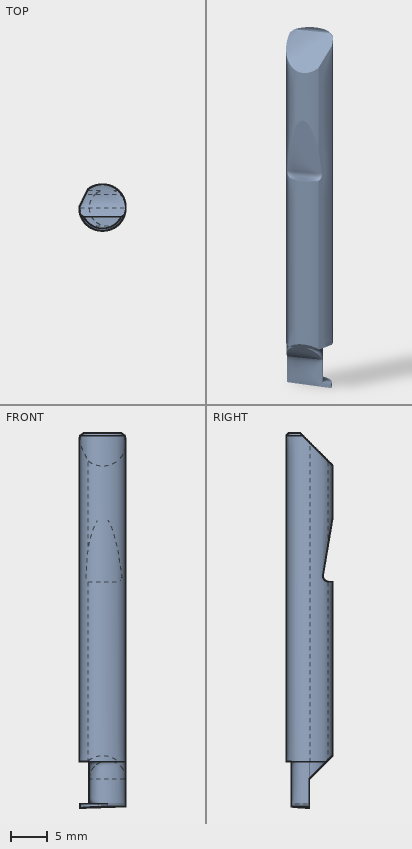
import cadquery as cq

length = 50.8
shank_diameter = 6.35
shank_radius = shank_diameter / 2
shank_bottom = 6.3
top_chamfer = 0.35

flat_normal_angle = 154.0
flat_distance = 2.87

top_slant_start_y = -1.25
bottom_slant_z = 3.95

notch_top = 39.45
notch_bottom = 30.7
notch_depth = 1.45
notch_corner_radius = 0.75

neck_radius = 2.5
neck_inset = 0.025
neck_x = shank_radius - neck_inset - neck_radius

tooth_tip_x = -3.05
tooth_x = tooth_tip_x + neck_radius
tooth_top = 0.6
relief_along_x = 2.0
relief_along_y = 3.0

reach = 2 * shank_diameter


def prism_along_x(points):
    """Extrude a YZ outline across the full width of the part."""
    return cq.Workplane("YZ").polyline(points).close().extrude(reach, both=True)


def make_shank():
    shank = (
        cq.Workplane("XY", origin=(0, 0, shank_bottom))
        .circle(shank_radius)
        .extrude(length - shank_bottom)
        .faces(">Z")
        .chamfer(top_chamfer)
    )
    flat = (
        cq.Workplane("XY")
        .box(reach, reach, 2 * length, centered=(False, True, False))
        .translate((flat_distance, 0, 0))
        .rotate((0, 0, 0), (0, 0, 1), flat_normal_angle)
    )
    return shank.cut(flat)


def make_neck():
    return (
        cq.Workplane("XY", origin=(neck_x, 0, tooth_top))
        .circle(neck_radius)
        .extrude(shank_bottom - tooth_top)
    )


def make_tooth():
    """Lip under the neck: two equal arcs joined by a straight tangent run."""
    return (
        cq.Workplane("XY")
        .moveTo(tooth_tip_x, 0)
        .radiusArc((tooth_x, -neck_radius), -neck_radius)
        .lineTo(neck_x, -neck_radius)
        .radiusArc((neck_x + neck_radius, 0), -neck_radius)
        .close()
        .extrude(tooth_top)
    )


def top_slant():
    return prism_along_x([
        (top_slant_start_y, length),
        (top_slant_start_y + reach, length - reach),
        (top_slant_start_y + reach, length),
    ])


def bottom_slant():
    """Remove the half below the cutting face, running out upwards at 45 degrees."""
    return prism_along_x([
        (0, -reach),
        (0, bottom_slant_z),
        (reach, bottom_slant_z + reach),
        (reach, -reach),
    ])


def notch():
    """Ramp down from the top and stop at a rounded step."""
    floor_y = shank_radius - notch_depth
    ramp_slope = notch_depth / (notch_top - notch_bottom)
    outer_y = shank_radius + notch_depth
    outer_z = notch_top + notch_depth / ramp_slope
    return prism_along_x([
        (floor_y, notch_bottom),
        (outer_y, outer_z),
        (outer_y, notch_bottom),
    ]).edges("<Y").fillet(notch_corner_radius)


def bottom_relief():
    """Tilt the underside so that only the tooth tip reaches the lowest point."""
    return (
        cq.Workplane("XY")
        .box(2 * reach, 2 * reach, reach, centered=(True, True, False))
        .translate((0, 0, -reach))
        .rotate((0, 0, 0), (1, 0, 0), -relief_along_y)
        .rotate((0, 0, 0), (0, 1, 0), -relief_along_x)
        .translate((tooth_tip_x, 0, 0))
    )


result = make_shank().union(make_neck()).union(make_tooth())
for cutter in (top_slant(), notch(), bottom_slant(), bottom_relief()):
    result = result.cut(cutter)